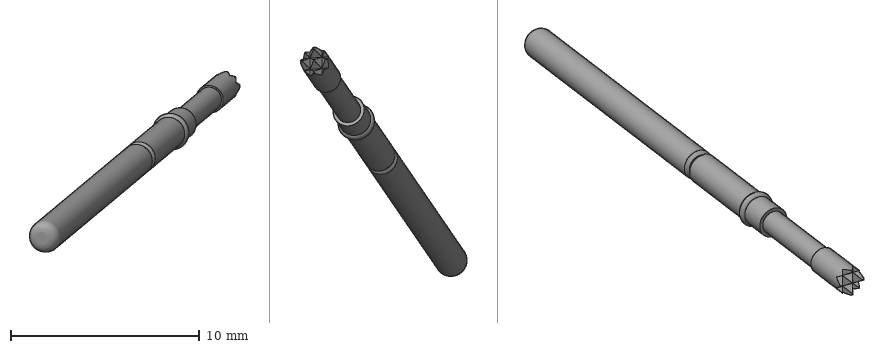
import cadquery as cq

total_length = 32.0
crown_length = 3.0
plunger_length = 8.0
collar_start = 9.5
collar_width = 0.48
groove_start = 15.07
groove_width = 0.5
groove_floor = 0.05

crown_diameter = 1.5
shaft_diameter = 1.3
barrel_diameter = 1.7
collar_diameter = 2.0
groove_diameter = 1.35

barrel_end_fillet = 0.48
crown_chamfer = 0.1

tooth_pitch = 0.65
tooth_depth = 0.55
tooth_groove_positions = [-tooth_pitch / 2, tooth_pitch / 2]

tip_y = total_length / 2


def cylinder(diameter, start, length):
    """Round bar on the Y axis, starting a given distance behind the crown tips."""
    plane = cq.Workplane("XZ", origin=(0, tip_y - start, 0))
    return plane.circle(diameter / 2).extrude(length)


def crimp_groove():
    """Ring with a narrow-floored V section, to be cut into the barrel."""
    barrel_radius = barrel_diameter / 2
    front_y = tip_y - groove_start
    section = [
        (barrel_radius, front_y),
        (groove_diameter / 2, front_y - (groove_width - groove_floor) / 2),
        (groove_diameter / 2, front_y - (groove_width + groove_floor) / 2),
        (barrel_radius, front_y - groove_width),
    ]
    return cq.Workplane("XY").polyline(section).close().revolve(360, (0, 0, 0), (0, 1, 0))


def press_ring():
    """Collar around the barrel, its outer side rounded by one arc."""
    barrel_radius = barrel_diameter / 2
    front_y = tip_y - collar_start
    rear_y = front_y - collar_width
    crest = (collar_diameter / 2, front_y - collar_width / 2)
    section = cq.Workplane("XY").moveTo(0, front_y).lineTo(barrel_radius, front_y)
    section = section.threePointArc(crest, (barrel_radius, rear_y)).lineTo(0, rear_y).close()
    return section.revolve(360, (0, 0, 0), (0, 1, 0))


def tooth_groove(position):
    """V groove across the crown along Z, offset from the axis in X."""
    section = [
        (position - tooth_pitch / 2, tip_y),
        (position, tip_y - tooth_depth),
        (position + tooth_pitch / 2, tip_y),
    ]
    return cq.Workplane("XY").polyline(section).close().extrude(crown_diameter, both=True)


crown = cylinder(crown_diameter, 0, crown_length)
crown = crown.faces(">Y").edges().chamfer(crown_chamfer)
for position in tooth_groove_positions:
    groove_along_z = tooth_groove(position)
    groove_along_x = groove_along_z.rotate((0, 0, 0), (0, 1, 0), 90)
    crown = crown.cut(groove_along_z).cut(groove_along_x)
shaft = cylinder(shaft_diameter, crown_length, plunger_length - crown_length)

barrel = cylinder(barrel_diameter, plunger_length, total_length - plunger_length)
barrel = barrel.faces("<Y").edges().fillet(barrel_end_fillet)
barrel = barrel.cut(crimp_groove())
collar = press_ring()

result = crown.union(shaft).union(barrel).union(collar)